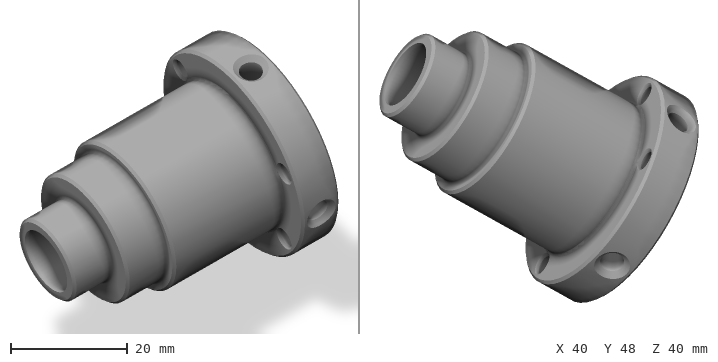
import cadquery as cq
import math

TOTAL_LENGTH = 48.0
FLANGE_DIAMETER = 40.0
FLANGE_LENGTH = 8.0
BODY_DIAMETER = 29.0
BODY_END = 31.5
SHOULDER_DIAMETER = 25.0
SHOULDER_END = 40.0
NOSE_DIAMETER = 16.0
BORE_DIAMETER = 12.0
EDGE_BREAK = 0.5

SCREW_HOLE_DIAMETER = 3.25
SCREW_CIRCLE_DIAMETER = 34.0
SCREW_ANGLE = 30.0
SCREW_SINK_DEPTH = 0.5

RADIAL_HOLE_DIAMETER = 4.15
RADIAL_CHAMFER = 1.0
RADIAL_HOLE_COUNT = 4

Y_AXIS = cq.Vector(0, 1, 0)


def stepped_body():
    """Coaxial cylinders, each chamfered at its exposed end, with filleted inner corners."""
    steps = [
        (FLANGE_DIAMETER, FLANGE_LENGTH),
        (BODY_DIAMETER, BODY_END),
        (SHOULDER_DIAMETER, SHOULDER_END),
        (NOSE_DIAMETER, TOTAL_LENGTH),
    ]
    flange_radius = FLANGE_DIAMETER / 2
    profile = cq.Workplane("XY").lineTo(flange_radius - EDGE_BREAK, 0)
    profile = profile.lineTo(flange_radius, -EDGE_BREAK)
    for (diameter, end), (next_diameter, _) in zip(steps, steps[1:]):
        radius = diameter / 2
        next_radius = next_diameter / 2
        profile = (
            profile.lineTo(radius, EDGE_BREAK - end)
            .lineTo(radius - EDGE_BREAK, -end)
            .lineTo(next_radius + EDGE_BREAK, -end)
            .radiusArc((next_radius, -end - EDGE_BREAK), -EDGE_BREAK)
        )
    nose_radius = NOSE_DIAMETER / 2
    profile = (
        profile.lineTo(nose_radius, EDGE_BREAK - TOTAL_LENGTH)
        .lineTo(nose_radius - EDGE_BREAK, -TOTAL_LENGTH)
        .lineTo(0, -TOTAL_LENGTH)
        .close()
    )
    return profile.revolve(360, (0, 0, 0), (0, 1, 0))


def bore():
    return cq.Solid.makeCylinder(BORE_DIAMETER / 2, TOTAL_LENGTH, cq.Vector(0, -TOTAL_LENGTH, 0), Y_AXIS)


def screw_hole(angle):
    """Axial flange hole, countersunk on the front flange face."""
    reach = SCREW_CIRCLE_DIAMETER / 2
    x = reach * math.cos(math.radians(angle))
    z = reach * math.sin(math.radians(angle))
    radius = SCREW_HOLE_DIAMETER / 2
    front = cq.Vector(x, -FLANGE_LENGTH, z)
    hole = cq.Solid.makeCylinder(radius, FLANGE_LENGTH, front, Y_AXIS)
    sink = cq.Solid.makeCone(radius + SCREW_SINK_DEPTH, radius, SCREW_SINK_DEPTH, front, Y_AXIS)
    return hole.fuse(sink)


def radial_hole(angle):
    """Hole from the flange rim into the bore."""
    start = cq.Vector(0, -FLANGE_LENGTH / 2, 0)
    hole = cq.Solid.makeCylinder(RADIAL_HOLE_DIAMETER / 2, FLANGE_DIAMETER / 2, start, cq.Vector(1, 0, 0))
    return hole.rotate(cq.Vector(0, 0, 0), Y_AXIS, angle)


def mouth_selector(angle):
    """Select the edge where one radial hole meets the flange rim."""
    x = FLANGE_DIAMETER / 2 * math.cos(math.radians(angle))
    z = -FLANGE_DIAMETER / 2 * math.sin(math.radians(angle))
    return cq.NearestToPointSelector((x, -FLANGE_LENGTH / 2, z))


result = stepped_body().cut(cq.Workplane(bore()))

for screw_angle in (SCREW_ANGLE, 180 - SCREW_ANGLE, 180 + SCREW_ANGLE, -SCREW_ANGLE):
    result = result.cut(cq.Workplane(screw_hole(screw_angle)))

for index in range(RADIAL_HOLE_COUNT):
    radial_angle = index * 360 / RADIAL_HOLE_COUNT
    result = result.cut(cq.Workplane(radial_hole(radial_angle)))
    result = result.edges(mouth_selector(radial_angle)).chamfer(RADIAL_CHAMFER)

result = cq.Workplane(result.solids().val())